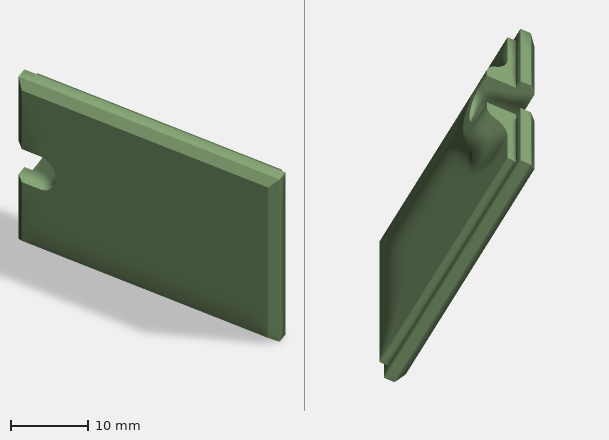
import cadquery as cq
import math

length = 38.9
height = 29.5
plate_thickness = 2.6
bevel = 1.1

step_inset = 1.2
step_thickness = 1.3
step_back = plate_thickness + step_thickness

boss_height = 3.0
boss_back = step_back + boss_height
boss_axis_x = 3.77
boss_flat_radius = 3.95
crest_radius = 2.0
foot_radius = 3.0

notch_half_width = 3.0
notch_depth = 6.2
notch_end_radius = 3.42
notch_corner_radius = 2.0


def make_plate():
    plate = cq.Workplane("XY").box(length, plate_thickness, height, centered=(False, False, True))
    return plate.faces("<Y").chamfer(bevel)


def make_step():
    step = cq.Workplane("XY").box(
        length - 2 * step_inset,
        step_thickness,
        height - 2 * step_inset,
        centered=(False, False, True),
    )
    return step.translate((step_inset, plate_thickness, 0))


def boss_half_profile(plane):
    """Half section of the boss: radius outwards, y towards the back."""
    turn = math.acos(1 - boss_height / (crest_radius + foot_radius))
    foot_start = boss_flat_radius + (crest_radius + foot_radius) * math.sin(turn)

    def crest(angle):
        return (
            boss_flat_radius + crest_radius * math.sin(angle),
            boss_back - crest_radius * (1 - math.cos(angle)),
        )

    def foot(angle):
        return (
            foot_start - foot_radius * math.sin(angle),
            step_back + foot_radius * (1 - math.cos(angle)),
        )

    return (
        plane.moveTo(0, plate_thickness)
        .lineTo(0, boss_back)
        .lineTo(boss_flat_radius, boss_back)
        .threePointArc(crest(turn / 2), crest(turn))
        .threePointArc(foot(turn / 2), foot(0))
        .lineTo(foot_start, plate_thickness)
        .close()
    )


def make_boss():
    """Half-round end joined to a straight run that stops at the step edge."""
    section = cq.Plane(origin=(boss_axis_x, 0, 0), xDir=(0, 0, 1), normal=(-1, 0, 0))
    round_end = boss_half_profile(cq.Workplane(section)).revolve(180, (0, 0), (0, 1))
    half_run = boss_half_profile(cq.Workplane(section)).extrude(boss_axis_x - step_inset)
    return round_end.union(half_run).union(half_run.mirror("XY"))


def make_notch():
    end_center_x = notch_depth - notch_end_radius
    corner_z = notch_half_width - notch_corner_radius
    center_distance = notch_end_radius - notch_corner_radius
    join_angle = math.asin(corner_z / center_distance)
    corner_x = end_center_x + center_distance * math.cos(join_angle)
    middle_angle = (join_angle + math.pi / 2) / 2

    def corner(angle, side):
        return (
            corner_x + notch_corner_radius * math.cos(angle),
            side * (corner_z + notch_corner_radius * math.sin(angle)),
        )

    outline = (
        cq.Workplane("XZ")
        .moveTo(0, -notch_half_width)
        .lineTo(corner_x, -notch_half_width)
        .threePointArc(corner(middle_angle, -1), corner(join_angle, -1))
        .threePointArc((notch_depth, 0), corner(join_angle, 1))
        .threePointArc(corner(middle_angle, 1), (corner_x, notch_half_width))
        .lineTo(0, notch_half_width)
        .close()
    )
    return outline.extrude(-boss_back)


result = make_plate().union(make_step()).union(make_boss()).cut(make_notch())